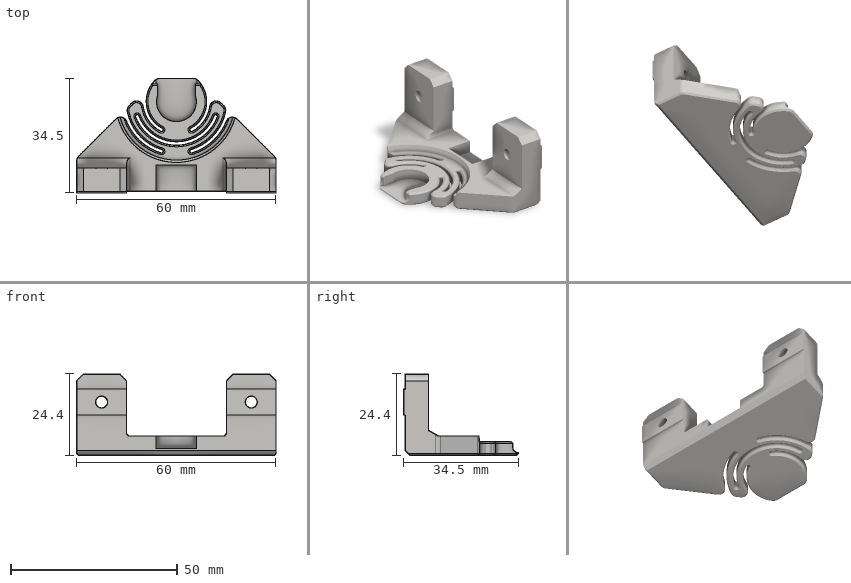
import cadquery as cq
import math

HALF_WIDTH = 30.0
TOTAL_HEIGHT = 24.4
PLATE_HEIGHT = 5.8
SHOULDER_Y = 10.0
BACK_Y = 34.0
CORNER_RADIUS = 2.0
BOTTOM_CHAMFER = 0.5
FRONT_CHAMFER = 1.4
CLEARANCE = 1.0

UPRIGHT_WIDTH = 15.0
UPRIGHT_DEPTH = 7.0
UPRIGHT_TOP_CHAMFER = 2.0
UPRIGHT_FOOT_RADIUS = 1.0
GUSSET_ANGLE = 30.0
PAD_HEIGHT = 7.8
PAD_THICKNESS = 0.5
HOLE_DIAMETER = 3.5
HOLE_Z = 16.0

POCKET_WIDTH = 12.2
POCKET_DEPTH = 8.0
POCKET_FLOOR_Z = 2.0

RING_CENTER_Y = 27.0
SPRING_HEIGHT = 4.1
SPRING_CHAMFER = 0.5
SLOT_WIDTH = 1.0
DISC_RADIUS = 9.1
SLOT_PITCH = 3.0
INNER_SLOT_RADIUS = DISC_RADIUS + SLOT_WIDTH / 2
MIDDLE_SLOT_RADIUS = INNER_SLOT_RADIUS + SLOT_PITCH
OUTER_SLOT_RADIUS = MIDDLE_SLOT_RADIUS + SLOT_PITCH
BRIDGE_HALF_WIDTH = 4.5
MIDDLE_SLOT_END_ANGLE = 69.5
OPEN_SLOT_END_ANGLES = {INNER_SLOT_RADIUS: 150.0, OUTER_SLOT_RADIUS: 100.0}
BOWL_FLOOR_RADIUS = 17.6
BOWL_RIM_RADIUS = 18.3

SEAT_RADIUS = 6.0
SEAT_MOUTH_HALF_WIDTH = 5.7
SEAT_FLOOR_Z = 0.8
DISC_FLAT_Y = 32.35
WEB_INNER_X = 6.2
WEB_RADIUS = BACK_Y - DISC_FLAT_Y


def ring_point(radius, angle):
    """Point on a ring; the angle runs from the -Y direction towards +X."""
    a = math.radians(angle)
    return radius * math.sin(a), RING_CENTER_Y - radius * math.cos(a)


def ring_slot(radius, start, end):
    """Cutter for an arc slot with round ends, given by its mid radius and end angles."""
    inner = radius - SLOT_WIDTH / 2
    outer = radius + SLOT_WIDTH / 2
    middle = (start + end) / 2
    band = (
        cq.Workplane("XY")
        .moveTo(*ring_point(inner, start))
        .threePointArc(ring_point(inner, middle), ring_point(inner, end))
        .lineTo(*ring_point(outer, end))
        .threePointArc(ring_point(outer, middle), ring_point(outer, start))
        .close()
        .extrude(TOTAL_HEIGHT)
    )
    ends = (
        cq.Workplane("XY")
        .pushPoints([ring_point(radius, start), ring_point(radius, end)])
        .circle(SLOT_WIDTH / 2)
        .extrude(TOTAL_HEIGHT)
    )
    return band.union(ends)


def flank_corner(radius):
    """Corner where the +X flank line crosses a ring, on the lower side."""
    flank_distance = (HALF_WIDTH + SHOULDER_Y - RING_CENTER_Y) / math.sqrt(2)
    return ring_point(radius, 135 - math.degrees(math.acos(flank_distance / radius)))


def outline_prism():
    """Full-height prism of the plan outline with all slots and sharp corners."""
    flank_top_x = HALF_WIDTH - (BACK_Y - SHOULDER_Y)
    right_side = [(HALF_WIDTH, 0), (HALF_WIDTH, SHOULDER_Y), (flank_top_x, BACK_Y)]
    left_side = [(-x, y) for x, y in reversed(right_side)]
    prism = cq.Workplane("XY").polyline(right_side + left_side).close().extrude(TOTAL_HEIGHT)

    prism = prism.cut(ring_slot(MIDDLE_SLOT_RADIUS, -MIDDLE_SLOT_END_ANGLE, MIDDLE_SLOT_END_ANGLE))
    for radius, end in OPEN_SLOT_END_ANGLES.items():
        start = math.degrees(math.asin(BRIDGE_HALF_WIDTH / radius))
        prism = prism.cut(ring_slot(radius, start, end))
        prism = prism.cut(ring_slot(radius, -end, -start))

    return prism


def round_corners(prism, corners):
    """Round the upright plan corners at the given points and their mirror images."""
    for x, y in corners:
        for side in (-1, 1):
            corner = cq.selectors.NearestToPointSelector((side * x, y, TOTAL_HEIGHT / 2))
            prism = prism.edges("|Z").edges(corner).fillet(CORNER_RADIUS)
    return prism


def slab(bottom, top, y_start=-CLEARANCE):
    """Block wider than the part, used to trim by height or depth."""
    return (
        cq.Workplane("XY", origin=(0, y_start, bottom))
        .rect(4 * HALF_WIDTH, 4 * HALF_WIDTH)
        .extrude(top - bottom)
        .translate((0, 2 * HALF_WIDTH, 0))
    )


def spring_plate(prism):
    """Low plate with chamfered disc, arms and slots."""
    plate = prism.intersect(slab(0, SPRING_HEIGHT))
    plate = plate.cut(slab(SEAT_FLOOR_Z, TOTAL_HEIGHT, DISC_FLAT_Y))
    reach = OUTER_SLOT_RADIUS + SLOT_WIDTH
    rims = plate.faces(">Z").edges().filter(
        lambda e: math.hypot(e.Center().x, e.Center().y - RING_CENTER_Y) < reach
    )
    return plate.newObject(rims.vals()).chamfer(SPRING_CHAMFER)


def bowl():
    """Flared recess that lowers the spring section below the body plate."""
    well = cq.Workplane("XY", origin=(0, RING_CENTER_Y, 0)).circle(BOWL_FLOOR_RADIUS).extrude(SPRING_HEIGHT)
    flare = cq.Solid.makeCone(
        BOWL_FLOOR_RADIUS,
        BOWL_RIM_RADIUS,
        PLATE_HEIGHT - SPRING_HEIGHT,
        pnt=cq.Vector(0, RING_CENTER_Y, SPRING_HEIGHT),
    )
    return well.union(cq.Workplane(flare))


def uprights():
    """Both uprights with chamfered tops, rounded inner feet and sloped backs."""
    inner_x = HALF_WIDTH - UPRIGHT_WIDTH
    r = UPRIGHT_FOOT_RADIUS
    c = UPRIGHT_TOP_CHAMFER
    front = (
        cq.Workplane("XZ")
        .moveTo(HALF_WIDTH, 0)
        .lineTo(HALF_WIDTH, TOTAL_HEIGHT - c)
        .lineTo(HALF_WIDTH - c, TOTAL_HEIGHT)
        .lineTo(inner_x + c, TOTAL_HEIGHT)
        .lineTo(inner_x, TOTAL_HEIGHT - c)
        .lineTo(inner_x, PLATE_HEIGHT + r)
        .radiusArc((inner_x - r, PLATE_HEIGHT), r)
        .lineTo(inner_x - r, 0)
        .close()
        .extrude(-SHOULDER_Y)
    )
    slope_rise = (SHOULDER_Y - UPRIGHT_DEPTH) * math.tan(math.radians(GUSSET_ANGLE))
    side = (
        cq.Workplane("YZ")
        .polyline([
            (0, 0),
            (SHOULDER_Y, 0),
            (SHOULDER_Y, PLATE_HEIGHT),
            (UPRIGHT_DEPTH, PLATE_HEIGHT + slope_rise),
            (UPRIGHT_DEPTH, TOTAL_HEIGHT),
            (0, TOTAL_HEIGHT),
        ])
        .close()
        .extrude(HALF_WIDTH)
    )
    right = front.intersect(side)
    return right.union(right.mirror("YZ"))


def magnet_seat():
    """Round seat with a straight mouth running out through the back."""
    height = TOTAL_HEIGHT - SEAT_FLOOR_Z
    plane = cq.Workplane("XY", origin=(0, RING_CENTER_Y, SEAT_FLOOR_Z))
    mouth = plane.rect(2 * SEAT_MOUTH_HALF_WIDTH, 2 * (BACK_Y - RING_CENTER_Y)).extrude(height)
    mouth = mouth.intersect(slab(SEAT_FLOOR_Z, TOTAL_HEIGHT, RING_CENTER_Y))
    return plane.circle(SEAT_RADIUS).extrude(height).union(mouth)


def lip_webs(prism):
    """Small concave webs joining the disc's flat ends to the thin lip."""
    web = (
        cq.Workplane("YZ", origin=(WEB_INNER_X, 0, 0))
        .moveTo(DISC_FLAT_Y, SEAT_FLOOR_Z)
        .lineTo(DISC_FLAT_Y + WEB_RADIUS, SEAT_FLOOR_Z)
        .radiusArc((DISC_FLAT_Y, SEAT_FLOOR_Z + WEB_RADIUS), WEB_RADIUS)
        .close()
        .extrude(DISC_RADIUS - WEB_INNER_X)
    )
    return web.union(web.mirror("YZ")).intersect(prism)


def front_pocket():
    return (
        cq.Workplane("XY", origin=(0, 0, POCKET_FLOOR_Z))
        .rect(POCKET_WIDTH, 2 * POCKET_DEPTH)
        .extrude(PLATE_HEIGHT)
    )


def front_chamfer():
    c = FRONT_CHAMFER
    return (
        cq.Workplane("YZ", origin=(-HALF_WIDTH, 0, 0))
        .polyline([(0, 0), (c, 0), (0, c)])
        .close()
        .extrude(2 * HALF_WIDTH)
    )


def add_mounts(body):
    """Raised pads with screw holes on the front of both uprights."""
    for side in (-1, 1):
        x = side * (HALF_WIDTH - UPRIGHT_WIDTH / 2)
        face = cq.Workplane("XZ", origin=(x, 0, HOLE_Z))
        body = body.union(face.rect(UPRIGHT_WIDTH, PAD_HEIGHT).extrude(PAD_THICKNESS))
        body = body.cut(face.circle(HOLE_DIAMETER / 2).extrude(UPRIGHT_DEPTH, both=True))
    return body


disc_corner = (math.sqrt(DISC_RADIUS**2 - (BACK_Y - RING_CENTER_Y) ** 2), BACK_Y)
spring_corners = [
    disc_corner,
    flank_corner(INNER_SLOT_RADIUS + SLOT_WIDTH / 2),
    flank_corner(OUTER_SLOT_RADIUS - SLOT_WIDTH / 2),
]
plate_corners = [
    (HALF_WIDTH, SHOULDER_Y),
    flank_corner(OUTER_SLOT_RADIUS + SLOT_WIDTH / 2),
]
spring_outline = round_corners(outline_prism(), spring_corners)
outline = round_corners(spring_outline, plate_corners)

thick_plate = outline.intersect(slab(0, PLATE_HEIGHT)).cut(bowl())
body = spring_plate(spring_outline).intersect(outline).union(thick_plate).union(uprights().intersect(outline))
body = body.faces("<Z").edges("not(<Y)").chamfer(BOTTOM_CHAMFER)
body = body.cut(front_chamfer())
body = body.cut(magnet_seat()).union(lip_webs(outline))
body = body.cut(front_pocket())
result = add_mounts(body)